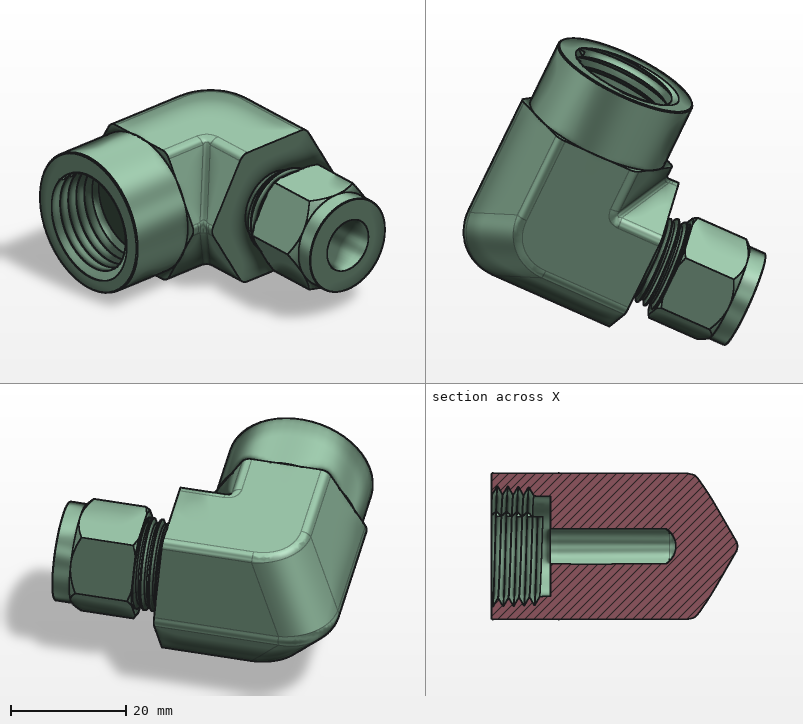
import cadquery as cq
import math


overall_length = 50.4

block_across_flats = 25.4
block_edge_radius = 2.0
block_corner = block_across_flats / math.sqrt(3)
block_half_width = block_corner - block_edge_radius * (2 / math.sqrt(3) - 1)
port_length = 16.7
outer_bend_radius = 10.0
inner_bend_radius = 1.0
flow_bore_radius = 3.6
flow_bend_radius = 1.1

collar_radius = 12.9
collar_length = 11.75
collar_end = port_length + collar_length
collar_edge_chamfer = 0.2
inlet_depth = 10.25
inlet_mouth_radius = 9.2
inlet_taper = 1 / 32
inlet_pitch = 1.8
inlet_thread_depth = 1.45
inlet_root_width = 0.05
inlet_thread_length = 8.05
inlet_start_angle = 145.0

neck_radius = 6.7
thread_start = 18.0
thread_radius = 8.05
thread_end = 26.2
thread_chamfer = 0.9
thread_pitch = 1.5
thread_depth = 0.8
thread_root_width = 0.4
thread_groove_start = 16.7

nut_start = 21.85
nut_end = overall_length - block_half_width
nut_across_flats = 17.45
nut_collar_length = 3.1
nut_collar_radius = nut_across_flats / 2
nut_corner_radius = nut_across_flats / math.sqrt(3)
nut_corner_height = nut_corner_radius - nut_collar_radius
nut_back_chamfer = 0.55
nut_back_radius = 9.3
nut_edge_chamfer = 0.1
tube_radius = 4.8

TOLERANCE = 0.005
FLANK_SLOPE = math.tan(math.radians(30))
GROOVE_OVERLAP = 0.05
CYLINDRICAL = 360


def x_cylinder(radius, start, end):
    """Round bar along the outlet axis."""
    return cq.Workplane("YZ").workplane(offset=start).circle(radius).extrude(end - start)


def elbow_path(inlet_length, outlet_length):
    """Sharp right-angled centre line from the inlet end to the outlet end."""
    return cq.Workplane("XY").moveTo(0, -inlet_length).lineTo(0, 0).lineTo(outlet_length, 0)


def helical_groove(root_radius, root_width, depth, pitch, taper_angle=CYLINDRICAL):
    """One turn of a V-shaped cutter around +Z; a negative depth opens towards the axis."""
    root_half_width = root_width / 2
    mouth_half_width = root_half_width + abs(depth) * FLANK_SLOPE
    path = cq.Wire.makeHelix(pitch, pitch, root_radius, angle=taper_angle)
    profile = cq.Workplane("XZ").polyline([
        (root_radius, -root_half_width),
        (root_radius + depth, -mouth_half_width),
        (root_radius + depth, mouth_half_width),
        (root_radius, root_half_width),
    ]).close()
    return profile.sweep(cq.Workplane(path), isFrenet=True)


def placed(shape, origin, x_direction, axis):
    """Move a shape built around +Z so that +Z follows the given axis."""
    plane = cq.Plane(origin=origin, xDir=x_direction, normal=axis)
    return cq.Workplane(shape.val().moved(cq.Location(plane)))


def round_mitre_edges(body, x, radius):
    """Round the two sloping mitre edges whose midpoints lie at (x, -x), above and below centre."""
    box = cq.selectors.BoxSelector(
        (x - TOLERANCE, -x - TOLERANCE, -block_across_flats),
        (x + TOLERANCE, -x + TOLERANCE, block_across_flats))
    return body.edges(box).fillet(radius)


def is_lengthwise(edge):
    """True for the level edges that follow the elbow from end to end."""
    box = edge.BoundingBox()
    on_inlet_face = abs(box.ymax + port_length) < TOLERANCE
    on_outlet_face = abs(box.xmin - port_length) < TOLERANCE
    return box.zlen < TOLERANCE and not on_inlet_face and not on_outlet_face


def make_block():
    corner_angles = [math.radians(60 * i) for i in range(6)]
    hexagon = [(block_corner * math.cos(a), block_corner * math.sin(a)) for a in corner_angles]
    block = (
        cq.Workplane("XZ", origin=(0, -port_length, 0))
        .polyline(hexagon).close()
        .sweep(elbow_path(port_length, port_length), transition="right").clean()
    )
    edge_middle = block_corner * 3 / 4
    block = round_mitre_edges(block, -edge_middle, outer_bend_radius)
    block = round_mitre_edges(block, edge_middle, inner_bend_radius)
    return block.edges().filter(is_lengthwise).fillet(block_edge_radius)


def make_flow_bore():
    """Right-angled bore whose outer corner is rounded."""
    path = elbow_path(collar_end, thread_end)
    bore = (
        cq.Workplane("XZ", origin=(0, -collar_end, 0))
        .circle(flow_bore_radius).sweep(path, transition="right")
    )
    offset = flow_bore_radius - flow_bend_radius
    half_height = math.sqrt(flow_bore_radius ** 2 - offset ** 2)
    corner = (
        cq.Workplane("XY")
        .center(-flow_bore_radius, flow_bore_radius)
        .rect(2 * flow_bend_radius, 2 * flow_bend_radius)
        .extrude(flow_bore_radius, both=True)
    )
    rounded_corner = (
        cq.Workplane("XZ")
        .moveTo(0, -half_height)
        .threePointArc((flow_bend_radius, 0), (0, half_height)).close()
        .revolve(360, (0, 0, 0), (0, 1, 0))
        .translate((-offset, offset, 0))
    )
    return bore.cut(corner).union(rounded_corner)


def make_collar():
    return (
        cq.Workplane("XZ", origin=(0, -port_length, 0))
        .circle(collar_radius).extrude(collar_length)
        .faces("<Y").chamfer(collar_edge_chamfer)
    )


def make_inlet_cavity():
    """Tapered bore open at the collar end."""
    bottom_radius = inlet_mouth_radius - inlet_depth * inlet_taper
    return (
        cq.Workplane("XY")
        .polyline([
            (0, -collar_end), (inlet_mouth_radius, -collar_end),
            (bottom_radius, inlet_depth - collar_end), (0, inlet_depth - collar_end),
        ]).close()
        .revolve(360, (0, 0, 0), (0, 1, 0))
    )


def cut_inlet_thread(body):
    """Cut the tapered thread one turn at a time, from its inner end out through the mouth."""
    angle = math.radians(inlet_start_angle)
    direction = (math.cos(angle), 0, math.sin(angle))
    taper_angle = math.degrees(math.atan(inlet_taper))
    for turn in range(math.ceil(inlet_thread_length / inlet_pitch) + 1):
        depth = inlet_thread_length - turn * inlet_pitch
        root_radius = inlet_mouth_radius - depth * inlet_taper + inlet_thread_depth
        groove = helical_groove(root_radius, inlet_root_width, -inlet_thread_depth - GROOVE_OVERLAP,
                                inlet_pitch, taper_angle)
        body = body.cut(placed(groove, (0, depth - collar_end, 0), direction, (0, -1, 0)))
    return body


def make_outlet_thread():
    bar = x_cylinder(thread_radius, thread_start, thread_end).faces("<X").chamfer(thread_chamfer)
    groove = helical_groove(
        thread_radius - thread_depth, thread_root_width, thread_depth + GROOVE_OVERLAP,
        thread_pitch)
    turns = math.ceil((thread_end - thread_groove_start) / thread_pitch)
    for turn in range(turns):
        start = thread_groove_start + turn * thread_pitch
        bar = bar.cut(placed(groove, (start, 0, 0), (0, 1, 0), (1, 0, 0)))
    return bar


def make_elbow():
    body = make_block().union(make_collar())
    body = body.union(x_cylinder(neck_radius, port_length, thread_start))
    body = body.union(make_outlet_thread())
    body = body.cut(make_flow_bore())
    body = body.cut(make_inlet_cavity())
    return cut_inlet_thread(body)


def make_nut():
    hex_end = nut_end - nut_collar_length
    hexagon = (
        cq.Workplane("YZ").workplane(offset=nut_start)
        .polygon(6, 2 * nut_corner_radius).extrude(hex_end - nut_start)
    )
    turned = (
        cq.Workplane("XY")
        .polyline([
            (nut_start, 0), (nut_start, nut_back_radius),
            (nut_start + nut_back_chamfer, nut_corner_radius),
            (hex_end - nut_corner_height, nut_corner_radius),
            (hex_end, nut_collar_radius), (hex_end, 0),
        ]).close()
        .revolve(360, (0, 0, 0), (1, 0, 0))
    )
    collar = x_cylinder(nut_collar_radius, hex_end, nut_end).faces(">X").chamfer(nut_edge_chamfer)
    nut = hexagon.intersect(turned).union(collar)
    nut = nut.cut(x_cylinder(thread_radius, nut_start, thread_end))
    return nut.cut(x_cylinder(tube_radius, thread_end, nut_end))


elbow = make_elbow()
nut = make_nut()
result = cq.Compound.makeCompound([elbow.val(), nut.val()])